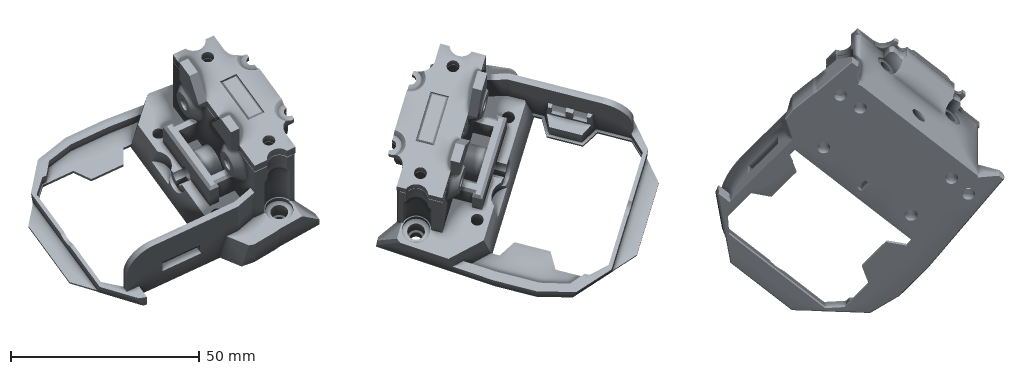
import cadquery as cq
import math

plate_thickness = 0.95
rim_height = 3.9
deck_height = 8.05
bottom_chamfer = 0.35

opening_half_width = 20.8
opening_front = 6.4
opening_corner = 3.8
wall_inner = 21.5
wall_outer = 23.3

tower_half_width = 21.6
tower_front = 50.65
tower_back = 63.4
tower_top = 27.7
tower_corner_radius = 1.2
lid_gap = 0.2
lid_bottom = tower_top + lid_gap
lid_top = 30.55
part_top = 37.8

tongue_half_width = 12.6
tongue_back = 68.2
tongue_fillet = 3.1
tongue_root = 54.55
tongue_underside = 24.4
notch_x = 9.9
notch_diameter = 2.9
notch_sink_diameter = 8.0
notch_sink_depth = 1.1

bore_z = 8.2
bore_diameter = 4.4
hub_diameter = 9.95
deck_front = 39.5
deck_front_slope = 2.3

over = 0.7
half_span = 40.9


def prism(points, bottom, top):
    """Vertical prism over a polygon."""
    return cq.Workplane("XY").workplane(offset=bottom).polyline(points).close().extrude(top - bottom)


def tapered_prism(bottom_points, top_points, bottom, top):
    """Straight-sided solid between two polygons that have matching corners."""
    return (cq.Workplane("XY").workplane(offset=bottom).polyline(bottom_points).close()
            .workplane(offset=top - bottom).polyline(top_points).close().loft(ruled=True))


def box(x_range, y_range, z_range):
    """Box given by its limits along each axis."""
    size = [limits[1] - limits[0] for limits in (x_range, y_range, z_range)]
    corner = (x_range[0], y_range[0], z_range[0])
    return cq.Workplane("XY").box(*size, centered=False).translate(corner)


def upright(x, y, diameter, bottom, top):
    """Vertical cylinder."""
    return cq.Workplane("XY").workplane(offset=bottom).center(x, y).circle(diameter / 2).extrude(top - bottom)


def lengthwise(x, z, diameter, front, back):
    """Cylinder along Y."""
    return (cq.Workplane("XZ", origin=(0, front, 0)).center(x, z)
            .circle(diameter / 2).extrude(front - back))


def crosswise(outline):
    """Prism along X, wider than the part, over an outline of (y, z) points."""
    return (cq.Workplane("YZ", origin=(-half_span, 0, 0))
            .polyline(outline).close().extrude(2 * half_span))


def cone(base, axis, base_diameter, end_diameter, length):
    """Truncated cone that starts at base and runs along axis."""
    return cq.Workplane(obj=cq.Solid.makeCone(
        base_diameter / 2, end_diameter / 2, length, cq.Vector(*base), cq.Vector(*axis)))


def mirror_points(points):
    """Left-hand copy of a chain of right-hand points, in reverse order."""
    return [(-x, y) for x, y in reversed(points)]


back_edge = 67.4
back_half_width = 26.85
left_widest = (-29.5, 34.15)
shoulder_y = 47.05
bevel_foot = 2.45
bevel_facet = 0.8


def left_edge(y):
    """Point on the straight left side, which widens from the back edge to the widest corner."""
    lean = (-back_half_width - left_widest[0]) / (back_edge - left_widest[1])
    return (-back_half_width - lean * (back_edge - y), y)


right_shoulder = (29.0, 44.65)
right_back = [(29.4, 46.0), (28.55, 53.3), (28.3, 54.4), (27.2, back_edge)]
back_notch = [(24.9, back_edge), (21.1, tower_back)]
deck_rear = right_back + back_notch + mirror_points(back_notch) + [left_edge(back_edge)]


def make_deck():
    front_top = [(-opening_half_width, deck_front), (opening_half_width, deck_front), right_shoulder]
    front_bottom = [(x, y - deck_front_slope) for x, y in front_top]
    deck_bottom = front_bottom + deck_rear + [left_edge(shoulder_y - deck_front_slope)]
    deck = tapered_prism(deck_bottom, front_top + deck_rear + [left_edge(shoulder_y)], 0, deck_height)
    bevel_run = deck_height - bevel_foot
    bevel = crosswise([(back_edge + over, bevel_foot - over), (back_edge + over, deck_height + over),
                       (back_edge - bevel_run - over, deck_height + over)])
    deck = deck.cut(bevel)
    middle = (-back_half_width, back_edge - bevel_run / 2, deck_height - bevel_run / 2)
    bevel_end = cq.selectors.NearestToPointSelector(middle)
    return deck.edges(bevel_end).chamfer(bevel_facet)


rim_front = 5.0
rim_left = [left_edge(shoulder_y), left_widest, (left_widest[0], 22.3)]
rim_end = 14.1
rim_rear = 46.35
rim_rear_right = [(wall_outer, rim_end), (wall_outer, rim_rear)]
rim_top = rim_left + [(-26.85, 12.2), (-18.05, rim_front), (18.3, rim_front), (26.8, 12.0), (27.55, rim_end)]
rim_foot_half = [(17.0, rim_front), (27.1, 13.2)]
rim_foot = rim_left + mirror_points(rim_foot_half) + rim_foot_half + [(27.4, rim_end)]
tip_half = [(10.9, 0), (17.0, rim_front), (17.0, rim_front + over)]
tip_outline = mirror_points(tip_half) + tip_half
floor_lip = 0.35
tab_middle = 27.35
tab_reach = 4.8
tab_root_half = 7.7
tab_end_half = 5.0


def make_rim():
    rim = tapered_prism(rim_foot + rim_rear_right, rim_top + rim_rear_right, 0, rim_height)
    rim = rim.union(prism(tip_outline, 0, plate_thickness))
    corner_x = opening_half_width - opening_corner
    corner_y = opening_front + opening_corner
    opening_half = [(corner_x, opening_front), (opening_half_width, corner_y),
                    (opening_half_width, rim_rear + over)]
    opening = mirror_points(opening_half) + opening_half
    rim = rim.cut(prism(opening, -over, rim_height + over))
    floor = [(-26.05, rim_rear), (-26.85, 34.15), (-26.85, 22.3), (-25.0, 14.6), (-21.1, 11.5),
             (-21.1, corner_y), (-corner_x, opening_front - floor_lip), (corner_x, opening_front - floor_lip),
             (wall_inner, corner_y + floor_lip), (wall_inner, rim_rear)]
    rim = rim.cut(prism(floor, plate_thickness, rim_height + over))
    for side in (-1, 1):
        tab = [(side * (opening_half_width + over), tab_middle - tab_root_half),
               (side * opening_half_width, tab_middle - tab_root_half),
               (side * (opening_half_width - tab_reach), tab_middle - tab_end_half),
               (side * (opening_half_width - tab_reach), tab_middle + tab_end_half),
               (side * opening_half_width, tab_middle + tab_root_half),
               (side * (opening_half_width + over), tab_middle + tab_root_half)]
        rim = rim.union(prism(tab, 0, plate_thickness))
    return rim


def make_foot_trim():
    """Waste around the footprint that leaves a small chamfer along the bottom edge."""
    shoulder_foot_y = right_shoulder[1] - deck_front_slope
    corner_rise = (right_shoulder[1] - deck_front) / (right_shoulder[0] - opening_half_width)
    notch_y = shoulder_foot_y - corner_rise * (right_shoulder[0] - wall_outer)
    right_corner = [(wall_outer, rim_end), (wall_outer, notch_y), (right_shoulder[0], shoulder_foot_y)]
    footprint = rim_foot[1:5] + tip_outline[2:4] + rim_foot[5:] + right_corner + deck_rear
    foot = prism(footprint, 0, bottom_chamfer * 2).faces("<Z").edges().chamfer(bottom_chamfer)
    return box((-half_span, half_span), (-over, tongue_back + over), (0, bottom_chamfer)).cut(foot)


wall_top = 18.7
wall_front = 10.35
wall_bend = 44.5
wall_round = 8.2
wall_lean = 2.0
wall_embed = 0.35
clip_post_inner = 20.25
clip_end = 16.7
clip_embed = 0.35
clip_top = 5.7
post_top = 10.15
clip_end_half = 4.5
clip_foot_half = 6.55
clip_root_half = 7.4
post_head_half = 5.8
post_root_half = 6.3
clip_shoulder_half = clip_foot_half - (clip_foot_half - post_head_half) * clip_top / post_top
window_bottom = 6.75
window_top = 9.7
window_width = 3.9
window_spacing = 5.9
recess_margin = 1.0
window_skin = 0.9


def make_wall():
    rear = tower_front + wall_embed
    outline = [(wall_inner, wall_front), (wall_outer, wall_front), (wall_outer, wall_bend),
               (wall_outer - wall_lean, rear), (wall_inner - wall_lean, rear), (wall_inner, wall_bend)]
    wall = prism(outline, 0, wall_top)
    front_corner = cq.selectors.NearestToPointSelector(((wall_inner + wall_outer) / 2, wall_front, wall_top))
    return wall.edges(front_corner).fillet(wall_round)


def clip_outline(half):
    """Polygon symmetric about the middle of the tabs, from its rear half."""
    return [(x, tab_middle - y) for x, y in half] + [(x, tab_middle + y) for x, y in reversed(half)]


def make_clip():
    """Block on the right tab, backed by a tapered post plate against the wall."""
    root = wall_inner + clip_embed
    block_foot = [(clip_end, clip_end_half), (clip_post_inner, clip_foot_half)]
    block_head = [(clip_end, clip_end_half), (clip_post_inner, clip_shoulder_half)]
    post_foot = [(clip_post_inner, clip_foot_half), (root, clip_root_half)]
    post_head = [(clip_post_inner, post_head_half), (root, post_root_half)]
    block = tapered_prism(clip_outline(block_foot), clip_outline(block_head), 0, clip_top)
    posts = tapered_prism(clip_outline(post_foot), clip_outline(post_head), 0, post_top)
    return block.union(posts)


def make_windows():
    recess_half = (window_spacing + window_width) / 2 + recess_margin
    windows = box((clip_post_inner + window_skin, wall_outer + over),
                  (tab_middle - recess_half, tab_middle + recess_half),
                  (window_bottom - recess_margin, window_top))
    for offset in (-window_spacing / 2, window_spacing / 2):
        middle = tab_middle + offset
        limits = (middle - window_width / 2, middle + window_width / 2)
        opening = box((clip_post_inner - over, wall_outer + over), limits, (window_bottom, window_top))
        gap = box((clip_post_inner - over, wall_inner), limits, (window_bottom, post_top + over))
        windows = windows.union(opening).union(gap)
    return windows


lower_tongue_chamfer = 0.8


def make_tower():
    tower = box((-tower_half_width, tower_half_width), (tower_front, tower_back), (0, tower_top))
    tower = tower.edges("|Z and >Y").fillet(tower_corner_radius)
    foot = tongue_underside - (tongue_back - tower_back)
    shoulder = tongue_back - notch_diameter / 2
    half_outline = [(notch_x, tongue_back), (notch_x, shoulder),
                    (tongue_half_width - lower_tongue_chamfer, shoulder),
                    (tongue_half_width, shoulder - lower_tongue_chamfer),
                    (tongue_half_width, tongue_root)]
    tongue = prism(half_outline + mirror_points(half_outline), foot, tower_top)
    slope = crosswise([(tower_back, foot), (tongue_back + over, tongue_underside + over),
                       (tongue_back + over, foot)])
    return tower.union(tongue.cut(slope))


boss_x = 11.5
boss_z = 21.6
boss_depth = 2.5
boss_base_diameter = 12.3
boss_end_diameter = 7.5
head_bore_diameter = 6.0
head_bore_sink = 0.35


def make_boss(x):
    return cone((x, tower_front, boss_z), (0, -1, 0), boss_base_diameter, boss_end_diameter, boss_depth)


latch_front = 42.25
latch_back = 45.05
latch_bar_back = 44.85
latch_half_width = 12.35
latch_arm_outer = 11.2
latch_arm_inner = 8.65
latch_top = 15.5
latch_chamfer = 0.75
latch_embed = 0.35


def make_latch():
    right = [(latch_half_width, latch_front), (latch_half_width, latch_back),
             (latch_arm_outer, latch_back), (latch_arm_outer, tower_front)]
    frame = prism(right + mirror_points(right), deck_height - latch_embed, latch_top)
    frame = frame.faces(">Z").edges("not(>Y)").chamfer(latch_chamfer)
    inside = box((-latch_arm_inner, latch_arm_inner), (latch_bar_back, tower_front + over),
                 (deck_height - over, latch_top + over))
    return frame.cut(inside)


screw_holes = [(-22.7, 57.6), (22.7, 57.6)]
lid_holes = [(-16.15, 58.2), (16.15, 58.2)]
deck_holes = [(-15.5, 42.75), (15.5, 42.75)]
through_diameter = 3.4
upper_relief_diameter = 6.5
lower_relief_diameter = 8.1
relief_bottom = 8.4
relief_shoulder = 21.35
relief_cone = 1.0
seat_diameter = 7.5
seat_depth = 1.0
seat_hole_diameter = 4.7
seat_hole_bottom = 2.7


def screw_relief(x, y):
    """Clearance for a vertical screw beside the tower, down to its seat in the deck."""
    seat = deck_height - seat_depth
    relief = upright(x, y, lower_relief_diameter, relief_bottom, relief_shoulder)
    relief = relief.union(upright(x, y, seat_diameter, seat, relief_bottom))
    relief = relief.union(cone((x, y, relief_shoulder), (0, 0, 1),
                               lower_relief_diameter, upper_relief_diameter, relief_cone))
    relief = relief.union(upright(x, y, upper_relief_diameter, relief_shoulder + relief_cone, part_top))
    relief = relief.union(upright(x, y, seat_hole_diameter, seat_hole_bottom, seat))
    return relief.union(upright(x, y, through_diameter, -over, seat_hole_bottom))


slot_width = 1.5
slot_back = 42.6
scoop_x = -6.9
scoop_y = 36.2
scoop_floor = 3.55
scoop_diameter = 9.7
counterbore_diameter = 8.2
counterbore_start = 13.2
rim_groove_back = 9.8


def make_frame():
    base = make_deck().union(make_rim()).cut(make_foot_trim())
    base = base.union(make_wall()).union(make_clip()).cut(make_windows())
    base = base.union(make_tower()).union(make_latch())
    base = base.union(lengthwise(0, bore_z, hub_diameter, latch_front + over, tower_front + over))
    head_bore_start = tower_back - head_bore_sink
    for x in (-boss_x, boss_x):
        base = base.union(make_boss(x))
        base = base.cut(lengthwise(x, boss_z, through_diameter, 0, tongue_back + over))
        base = base.cut(lengthwise(x, boss_z, head_bore_diameter, head_bore_start, tongue_back + over))
    for x, y in screw_holes:
        base = base.cut(screw_relief(x, y))
    for x, y in lid_holes + deck_holes:
        base = base.cut(upright(x, y, through_diameter, -over, part_top))
    for x in (-notch_x, notch_x):
        base = base.cut(upright(x, tongue_back, notch_diameter, 0, part_top))
    base = base.cut(lengthwise(0, bore_z, bore_diameter, -over, tongue_back + over))
    base = base.cut(lengthwise(0, bore_z, counterbore_diameter, counterbore_start, deck_front))
    base = base.cut(lengthwise(0, bore_z, hub_diameter, -over, rim_groove_back))
    base = base.cut(box((-slot_width / 2, slot_width / 2), (deck_front, slot_back), (-over, bore_z)))
    base = base.cut(upright(scoop_x, scoop_y, scoop_diameter, scoop_floor, deck_height + over))
    return base


lid_back = 63.25
groove_middle = 59.45
groove_length = 14.85
groove_breadth = 5.05
groove_depth = 0.6
ear_radius = 0.55
fin_outer = 13.55
fin_top_inner = 8.3
fin_foot_inner = 3.5
fin_front = 48.05
fin_undercut = 2.2


def make_fin(side):
    """Upright fin on the lid's front edge, with a sloped inner side and an undercut foot."""
    fin = (cq.Workplane("XZ", origin=(0, tower_front, 0))
           .polyline([(side * fin_outer, lid_bottom), (side * fin_outer, part_top),
                      (side * fin_top_inner, part_top),
                      (side * fin_foot_inner, lid_top), (side * fin_foot_inner, lid_bottom)])
           .close().extrude(tower_front - fin_front))
    undercut = crosswise([(tower_front, lid_bottom), (fin_front, lid_bottom + fin_undercut),
                          (fin_front, lid_bottom)])
    return fin.cut(undercut)


def make_lid_tongue():
    """Rear tongue, blended into the back edge of the lid and rounded at its ears."""
    r = tongue_fillet
    mid = r * (1 - math.sqrt(0.5))
    w = tongue_half_width
    tongue = (cq.Workplane("XY").workplane(offset=lid_bottom)
              .moveTo(-w - r, tongue_root).lineTo(-w - r, tower_back)
              .threePointArc((-w - mid, tower_back + mid), (-w, tower_back + r))
              .lineTo(-w, tongue_back).lineTo(w, tongue_back).lineTo(w, tower_back + r)
              .threePointArc((w + mid, tower_back + mid), (w + r, tower_back))
              .lineTo(w + r, tongue_root).close().extrude(lid_top - lid_bottom))
    return tongue.edges("|Z and >Y").fillet(ear_radius)


def make_groove():
    """Ring groove with an upright outer wall and a 45 degree wall up to an island level with the lid."""
    outer = (groove_length, groove_breadth)
    inner = (groove_length - 2 * groove_depth, groove_breadth - 2 * groove_depth)
    start = cq.Workplane("XY").workplane(offset=lid_top - groove_depth).center(0, groove_middle)
    island = start.rect(*outer).workplane(offset=groove_depth).rect(*inner).loft(ruled=True)
    return start.rect(*outer).extrude(groove_depth).cut(island)


def make_lid():
    lid = box((-tower_half_width, tower_half_width), (tower_front, lid_back), (lid_bottom, lid_top))
    lid = lid.union(make_lid_tongue())
    for side in (-1, 1):
        lid = lid.union(make_fin(side))
        x = side * notch_x
        lid = lid.cut(upright(x, tongue_back, notch_diameter, lid_bottom - over, part_top))
        lid = lid.cut(cone((x, tongue_back, lid_top), (0, 0, -1), notch_sink_diameter,
                           notch_sink_diameter - 2 * notch_sink_depth, notch_sink_depth))
    for x, y in lid_holes:
        lid = lid.cut(upright(x, y, through_diameter, 0, part_top))
    for x, y in screw_holes:
        lid = lid.cut(upright(x, y, upper_relief_diameter, 0, part_top))
    return lid.cut(make_groove())


frame = make_frame()
lid = make_lid()
result = cq.Compound.makeCompound([frame.val(), lid.val()])